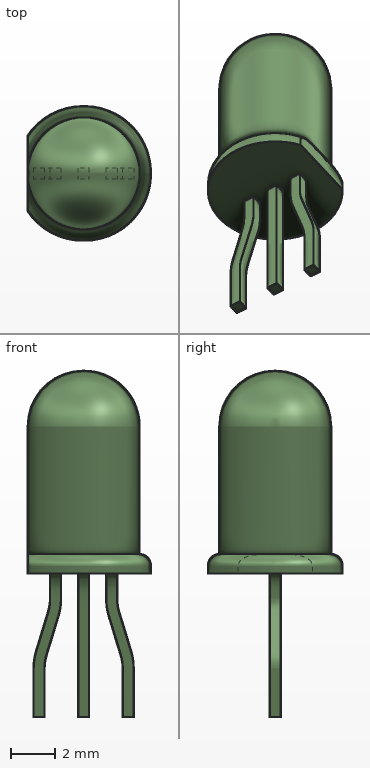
import cadquery as cq
import math

body_radius = 5.08 / 2
body_length = 6.65

flange_radius = 6.10 / 2
flange_height = 0.89
flange_round = 0.55

lead_size = 0.508
lead_length = 6.50
lead_pitch = 1.27
lead_tip_offset = 2.02
upper_straight = 1.13
bend_radius = 2.4
bend_angle = math.radians(17)


def make_body():
    """Domed cylinder revolved about Z, standing on Z = 0."""
    return (
        cq.Workplane("XZ")
        .lineTo(body_radius, 0)
        .lineTo(body_radius, body_length)
        .radiusArc((0, body_length + body_radius), -body_radius)
        .close()
        .revolve(360, (0, 0), (0, 1))
    )


def make_flange():
    """Disc with a rounded upper rim, cut flat on its -X side."""
    disc = (
        cq.Workplane("XY")
        .circle(flange_radius)
        .extrude(flange_height)
        .faces(">Z")
        .edges()
        .fillet(flange_round)
    )
    keep = (
        cq.Workplane("XY")
        .box(2 * flange_radius, 2 * flange_radius, flange_height, centered=(False, True, False))
        .translate((-body_radius, 0, 0))
    )
    return disc.intersect(keep)


def make_straight_lead():
    return cq.Workplane("XY").rect(lead_size, lead_size).extrude(-lead_length)


def make_bent_lead(side):
    """Lead joggled outward in X by two equal, opposite bends; side is -1 or +1."""
    arc_shift = bend_radius * (1 - math.cos(bend_angle))
    arc_drop = bend_radius * math.sin(bend_angle)
    mid_shift = bend_radius * (1 - math.cos(bend_angle / 2))
    mid_drop = bend_radius * math.sin(bend_angle / 2)

    slope_shift = lead_tip_offset - lead_pitch - 2 * arc_shift
    slope_drop = slope_shift / math.tan(bend_angle)
    first_bend_z = -upper_straight
    last_bend_z = first_bend_z - 2 * arc_drop - slope_drop

    path = (
        cq.Workplane("XZ")
        .moveTo(side * lead_pitch, 0)
        .lineTo(side * lead_pitch, first_bend_z)
        .threePointArc(
            (side * (lead_pitch + mid_shift), first_bend_z - mid_drop),
            (side * (lead_pitch + arc_shift), first_bend_z - arc_drop),
        )
        .lineTo(side * (lead_tip_offset - arc_shift), last_bend_z + arc_drop)
        .threePointArc(
            (side * (lead_tip_offset - mid_shift), last_bend_z + mid_drop),
            (side * lead_tip_offset, last_bend_z),
        )
        .lineTo(side * lead_tip_offset, -lead_length)
    )
    return (
        cq.Workplane("XY")
        .center(side * lead_pitch, 0)
        .rect(lead_size, lead_size)
        .sweep(path)
    )


result = make_body().union(make_flange()).union(make_straight_lead())
for side in (-1, 1):
    result = result.union(make_bent_lead(side))